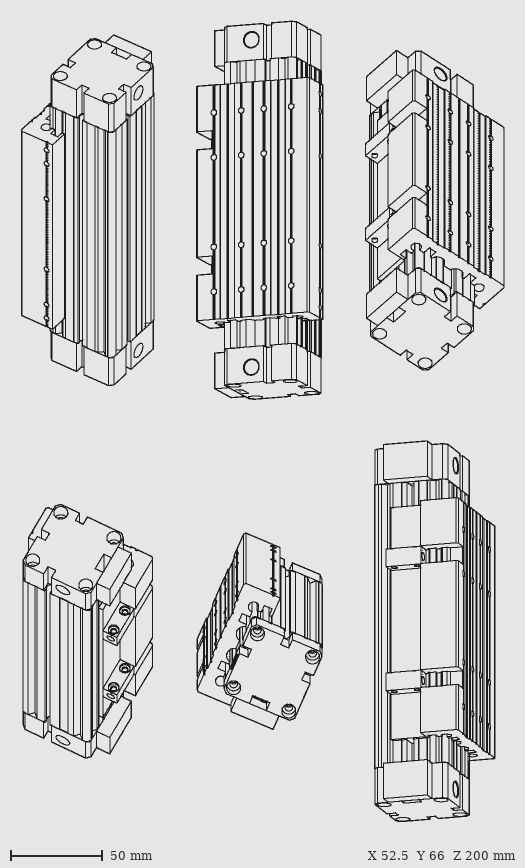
import cadquery as cq

LENGTH = 200.0
BODY_HALF = 21.0
CAP_LENGTH = 20.0
PROFILE_LENGTH = LENGTH - 2 * CAP_LENGTH
CAP_MID_Z = (LENGTH - CAP_LENGTH) / 2

PROFILE_FILLET = 2.2
TRACK_OFFSET = 14.0
TRACK_HALF_WIDTH = 2.8
TRACK_STEP_HALF_WIDTH = 4.2
STEP_DEPTH = 0.3
T_SLOT_Y = -4.8
T_SLOT_MOUTH = 3.0
T_SLOT_RADIUS = 1.9
T_SLOT_CENTRE_DEPTH = 2.8
T_SLOT_STEP_WIDTH = 8.8
SIDE_STEP_WIDTH = 5.2
SIDE_STEP_Y = 5.2
YOKE_SLOT_WIDTH = 3.8
YOKE_SLOT_BOTTOM_Y = 12.0
BAND_RECESS_WIDTH = 10.0
BAND_RECESS_DEPTH = 0.8

CAP_CHAMFER = 2.2
CAP_SLOT_WIDTH = 4.8
CAP_SLOT_DEPTH = 5.0
CAP_POCKET_DEPTH = 4.8
SCREW_OFFSET = 16.5
SCREW_HEAD_DIAMETER = 7.5
SCREW_HEAD_DEPTH = 10.0
SCREW_HOLE_DIAMETER = 4.2
TAPPED_HOLE_DIAMETER = 2.8
TAPPED_HOLE_DEPTH = 10.0
PORT_DIAMETER = 8.5
PORT_CHAMFER = 0.5
PORT_Y = 4.5
PORT_Z = 91.5

CLAMP_WIDTH = 25.2
CLAMP_THICKNESS = 8.2

CARRIAGE_LENGTH = 131.0
CARRIAGE_HALF_WIDTH = 33.0
CARRIAGE_FACE_X = -31.5
CARRIAGE_ARM_END_X = -10.0
CARRIAGE_CHAMFER = 1.0
ARM_CLEARANCE = 0.5
RACE_WIDTH = 4.5
PLATE_RACE_Y = 14.5
RACE_BOTTOM = 25.5
CORNER_X = -21.5
CORNER_Y = 22.5
CORNER_RADIUS = 2.8
SCALLOP_X = -20.2
SCALLOP_Y = 6.5
SCALLOP_RADIUS = 4.2
GROOVE_WIDTH = 0.8
GROOVE_DEPTH = 0.5
LINE_WIDTH = 0.5
FACE_RECESS_WIDTH = 8.5
FACE_RECESS_Y = 14.8
MOUNT_HOLE_DIAMETER = 3.2
FACE_HOLE_Z = (25.0, 50.0)
SIDE_HOLE_Z = (25.0, 50.0, 59.5)

CARRIER_TOP_Y = 23.5
BRACKET_TOP_Y = 32.2
BRACKET_HALF_WIDTH = -CARRIAGE_ARM_END_X
BRACKET_HEIGHT = 10.0
BRACKET_Z = 35.0
BRACKET_HOLE_Y = 28.5
BRACKET_HOLE_DIAMETER = 4.5
BRACKET_SCREW_X = 6.5
BRACKET_SCREW_DIAMETER = 3.2
BRACKET_SCREW_HEAD_DIAMETER = 5.8
BRACKET_SCREW_HEAD_DEPTH = 1.5


def block(x_range, y_range, z_range):
    """Box between pairs of coordinates."""
    sizes = [high - low for low, high in (x_range, y_range, z_range)]
    corner = (x_range[0], y_range[0], z_range[0])
    return cq.Workplane("XY").box(*sizes, centered=False).translate(corner)


def column(x_range, y_range, length):
    """Box that runs along Z, centred on Z = 0."""
    return block(x_range, y_range, (-length / 2, length / 2))


def span(centre, width):
    return (centre - width / 2, centre + width / 2)


def rod(axis, centre, diameter, length):
    """Cylinder along X, Y or Z that starts at centre and runs in the positive direction."""
    direction = {"X": (1, 0, 0), "Y": (0, 1, 0), "Z": (0, 0, 1)}[axis]
    solid = cq.Solid.makeCylinder(diameter / 2, length, cq.Vector(*centre), cq.Vector(*direction))
    return cq.Workplane(solid)


def on_face(cutter, angle):
    """Turn a cutter made for the -Y face about Z onto another face."""
    return cutter.rotate((0, 0, 0), (0, 0, 1), angle)


MINUS_Y, PLUS_X, PLUS_Y, MINUS_X = 0, 90, 180, 270
SLOT_FACES = ((MINUS_Y, 0), (PLUS_X, T_SLOT_Y), (MINUS_X, -T_SLOT_Y))
SCREW_POINTS = [(x, y) for x in (-SCREW_OFFSET, SCREW_OFFSET) for y in (-SCREW_OFFSET, SCREW_OFFSET)]


def face_strip(centre, width, depth):
    """Shallow strip cut along the profile's -Y face."""
    return column(span(centre, width), (-BODY_HALF, depth - BODY_HALF), PROFILE_LENGTH)


def guide_groove(centre):
    """45 degree V groove along the profile's -Y face."""
    outline = [
        (centre - TRACK_HALF_WIDTH, -BODY_HALF),
        (centre + TRACK_HALF_WIDTH, -BODY_HALF),
        (centre, TRACK_HALF_WIDTH - BODY_HALF),
    ]
    return cq.Workplane("XY").polyline(outline).close().extrude(PROFILE_LENGTH / 2, both=True)


def keyhole_slot(centre):
    """Narrow mouth that opens into a round channel along the -Y face."""
    channel_y = T_SLOT_CENTRE_DEPTH - BODY_HALF
    mouth = column(span(centre, T_SLOT_MOUTH), (-BODY_HALF, channel_y), PROFILE_LENGTH)
    start = (centre, channel_y, -PROFILE_LENGTH / 2)
    return mouth.union(rod("Z", start, 2 * T_SLOT_RADIUS, PROFILE_LENGTH))


def make_profile():
    side = span(0, 2 * BODY_HALF)
    body = column(side, side, PROFILE_LENGTH).edges("|Z").fillet(PROFILE_FILLET)

    for angle in (MINUS_Y, PLUS_X, PLUS_Y, MINUS_X):
        for centre in (-TRACK_OFFSET, TRACK_OFFSET):
            body = body.cut(on_face(guide_groove(centre), angle))
            if angle in (MINUS_Y, PLUS_Y):
                step = face_strip(centre, 2 * TRACK_STEP_HALF_WIDTH, STEP_DEPTH)
                body = body.cut(on_face(step, angle))

    for angle, centre in SLOT_FACES:
        body = body.cut(on_face(keyhole_slot(centre), angle))
    body = body.cut(face_strip(0, T_SLOT_STEP_WIDTH, STEP_DEPTH))
    for angle, centre in ((PLUS_X, SIDE_STEP_Y), (MINUS_X, -SIDE_STEP_Y)):
        body = body.cut(on_face(face_strip(centre, SIDE_STEP_WIDTH, STEP_DEPTH), angle))

    body = body.cut(column(span(0, YOKE_SLOT_WIDTH), (YOKE_SLOT_BOTTOM_Y, BODY_HALF), PROFILE_LENGTH))
    body = body.cut(on_face(face_strip(0, BAND_RECESS_WIDTH, BAND_RECESS_DEPTH), PLUS_Y))

    for x, y in SCREW_POINTS:
        for start in (-PROFILE_LENGTH / 2, PROFILE_LENGTH / 2 - TAPPED_HOLE_DEPTH):
            body = body.cut(rod("Z", (x, y, start), TAPPED_HOLE_DIAMETER, TAPPED_HOLE_DEPTH))
    return body


def make_upper_cap():
    side = span(0, 2 * BODY_HALF)
    body = column(side, side, CAP_LENGTH).edges("|Z").chamfer(CAP_CHAMFER)

    for angle, centre in SLOT_FACES:
        slot = column(span(centre, CAP_SLOT_WIDTH), (-BODY_HALF, CAP_SLOT_DEPTH - BODY_HALF), CAP_LENGTH)
        body = body.cut(on_face(slot, angle))
    pocket_y = (BODY_HALF - CAP_POCKET_DEPTH, BODY_HALF)
    body = body.cut(column(span(0, BAND_RECESS_WIDTH), pocket_y, CAP_LENGTH))

    body = (
        body.faces(">Z").workplane(origin=(0, 0, 0)).pushPoints(SCREW_POINTS)
        .cboreHole(SCREW_HOLE_DIAMETER, SCREW_HEAD_DIAMETER, SCREW_HEAD_DEPTH)
    )

    port_start = (-BODY_HALF, PORT_Y, PORT_Z - CAP_MID_Z)
    body = body.cut(rod("X", port_start, PORT_DIAMETER, 2 * BODY_HALF))
    mouth_radius = PORT_DIAMETER / 2 + PORT_CHAMFER
    countersink = cq.Solid.makeCone(
        mouth_radius, PORT_DIAMETER / 2, PORT_CHAMFER, cq.Vector(*port_start), cq.Vector(1, 0, 0)
    )
    return body.cut(cq.Workplane(countersink)).translate((0, 0, CAP_MID_Z))


def make_clamp_block(z):
    y_range = (BODY_HALF, BODY_HALF + CLAMP_THICKNESS)
    return column(span(0, CLAMP_WIDTH), y_range, CAP_LENGTH).translate((0, 0, z))


def carriage_blank():
    """U-shaped extrusion: a plate on -X and an arm on each Y side."""
    full_width = span(0, 2 * CARRIAGE_HALF_WIDTH)
    body = column((CARRIAGE_FACE_X, CARRIAGE_ARM_END_X), full_width, CARRIAGE_LENGTH)
    body = body.edges("|Z and <X").chamfer(CARRIAGE_CHAMFER)
    opening = span(0, 2 * (BODY_HALF + ARM_CLEARANCE))
    return body.cut(column((-BODY_HALF, CARRIAGE_ARM_END_X), opening, CARRIAGE_LENGTH))


def carriage_channels():
    """Open channels along the inside of the carriage."""
    cutters = []
    for side in (-1, 1):
        plate_race_y = span(side * PLATE_RACE_Y, RACE_WIDTH)
        cutters.append(column((-RACE_BOTTOM, -BODY_HALF), plate_race_y, CARRIAGE_LENGTH))
        arm_race_y = sorted((side * BODY_HALF, side * RACE_BOTTOM))
        cutters.append(column(span(-TRACK_OFFSET, RACE_WIDTH), arm_race_y, CARRIAGE_LENGTH))
        corner = (CORNER_X, side * CORNER_Y, -CARRIAGE_LENGTH / 2)
        cutters.append(rod("Z", corner, 2 * CORNER_RADIUS, CARRIAGE_LENGTH))
        scallop = (SCALLOP_X, side * SCALLOP_Y, -CARRIAGE_LENGTH / 2)
        cutters.append(rod("Z", scallop, 2 * SCALLOP_RADIUS, CARRIAGE_LENGTH))
    return cutters


def carriage_face_grooves():
    """Recesses and grooves along the outer faces."""
    def face_groove(y, width, depth):
        return column((CARRIAGE_FACE_X, CARRIAGE_FACE_X + depth), span(y, width), CARRIAGE_LENGTH)

    cutters = [face_groove(0, LINE_WIDTH, GROOVE_DEPTH)]
    for side in (-1, 1):
        for y in (SCALLOP_Y, CORNER_Y):
            cutters.append(face_groove(side * y, GROOVE_WIDTH, GROOVE_DEPTH))
        cutters.append(face_groove(side * FACE_RECESS_Y, FACE_RECESS_WIDTH, GROOVE_DEPTH))
        cutters.append(face_groove(side * FACE_RECESS_Y, LINE_WIDTH, 2 * GROOVE_DEPTH))

    side_depth = (-CARRIAGE_HALF_WIDTH, GROOVE_DEPTH - CARRIAGE_HALF_WIDTH)
    cutters.append(column(span(-TRACK_OFFSET, GROOVE_WIDTH), side_depth, CARRIAGE_LENGTH))
    return cutters


def carriage_mount_holes():
    """Holes from the outer faces into the inner channels."""
    cutters = []
    face_depth = CORNER_X - CARRIAGE_FACE_X
    side_depth = CARRIAGE_HALF_WIDTH - RACE_BOTTOM
    for end in (-1, 1):
        for z in FACE_HOLE_Z:
            for y in (-CORNER_Y, -SCALLOP_Y, SCALLOP_Y, CORNER_Y):
                cutters.append(rod("X", (CARRIAGE_FACE_X, y, end * z), MOUNT_HOLE_DIAMETER, face_depth))
        for z in SIDE_HOLE_Z:
            start = (-TRACK_OFFSET, -CARRIAGE_HALF_WIDTH, end * z)
            cutters.append(rod("Y", start, MOUNT_HOLE_DIAMETER, side_depth))
    return cutters


def make_carriage():
    body = carriage_blank()
    for cutter in carriage_channels() + carriage_face_grooves() + carriage_mount_holes():
        body = body.cut(cutter)

    for z in (-BRACKET_Z, BRACKET_Z):
        x_range = (CARRIAGE_FACE_X, CARRIAGE_ARM_END_X)
        y_range = (CARRIER_TOP_Y, CARRIAGE_HALF_WIDTH)
        body = body.cut(block(x_range, y_range, span(z, BRACKET_HEIGHT)))
    return body


def make_carrier():
    """Plate on the +Y face with a yoke that reaches into the profile's slot."""
    plate = column(span(0, 2 * BRACKET_HALF_WIDTH), (BODY_HALF, CARRIER_TOP_Y), CARRIAGE_LENGTH)
    yoke = column(span(0, YOKE_SLOT_WIDTH), (YOKE_SLOT_BOTTOM_Y, BODY_HALF), CARRIAGE_LENGTH)
    return plate.union(yoke)


def make_bracket(z):
    body = column(span(0, 2 * BRACKET_HALF_WIDTH), (CARRIER_TOP_Y, BRACKET_TOP_Y), BRACKET_HEIGHT)
    hole_start = (-BRACKET_HALF_WIDTH, BRACKET_HOLE_Y, 0)
    body = body.cut(rod("X", hole_start, BRACKET_HOLE_DIAMETER, 2 * BRACKET_HALF_WIDTH))
    screws = [(-BRACKET_SCREW_X, BRACKET_HOLE_Y), (BRACKET_SCREW_X, BRACKET_HOLE_Y)]
    body = (
        body.faces(">Z").workplane(origin=(0, 0, 0)).pushPoints(screws)
        .cboreHole(BRACKET_SCREW_DIAMETER, BRACKET_SCREW_HEAD_DIAMETER, BRACKET_SCREW_HEAD_DEPTH)
    )
    return body.translate((0, 0, z))


profile = make_profile()
upper_cap = make_upper_cap()
lower_cap = upper_cap.mirror("XY")
clamp_blocks = [make_clamp_block(z) for z in (-CAP_MID_Z, CAP_MID_Z)]
carriage = make_carriage()
carrier = make_carrier()
lower_bracket = make_bracket(-BRACKET_Z)
upper_bracket = make_bracket(BRACKET_Z)

bodies = [profile, upper_cap, lower_cap, *clamp_blocks, carriage, carrier, lower_bracket, upper_bracket]
result = cq.Compound.makeCompound([body.solids().val() for body in bodies])